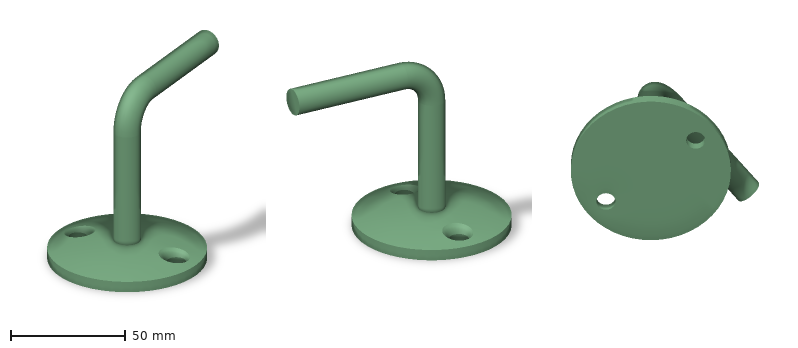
import cadquery as cq

plate_diameter = 70.0
rim_height = 5.0
plate_height = 9.0

rod_diameter = 12.0
overall_length = 104.0
overall_height = 82.0
bend_radius = 15.0

hole_diameter = 8.3
hole_offset = 25.0
cone_start_height = 4.4

plate_radius = plate_diameter / 2
rod_reach = overall_length - plate_radius
rod_axis_height = overall_height - rod_diameter / 2


def make_plate():
    """Trim a disc with the sphere that passes through its rim and its crown."""
    dome_rise = plate_height - rim_height
    dome_radius = (plate_radius**2 + dome_rise**2) / (2 * dome_rise)
    dome = cq.Workplane("XZ", origin=(0, 0, plate_height - dome_radius)).sphere(dome_radius)
    return cq.Workplane("XY").circle(plate_radius).extrude(plate_height).intersect(dome)


def make_rod():
    """Sweep a circle up from the plate and around the bend toward +Y."""
    path = (
        cq.Workplane("YZ")
        .moveTo(0, rim_height)
        .lineTo(0, rod_axis_height - bend_radius)
        .tangentArcPoint((bend_radius, rod_axis_height), relative=False)
        .lineTo(rod_reach, rod_axis_height)
    )
    return cq.Workplane("XY", origin=(0, 0, rim_height)).circle(rod_diameter / 2).sweep(path)


def make_hole_cutter(x):
    """Vertical through hole with a 90 degree countersink that clears the dome."""
    hole_radius = hole_diameter / 2
    cone_height = plate_height - cone_start_height
    cone_top_radius = hole_radius + cone_height
    shank = cq.Workplane("XY", origin=(x, 0, 0)).circle(hole_radius).extrude(plate_height)
    cone = cq.Solid.makeCone(
        hole_radius, cone_top_radius, cone_height, pnt=cq.Vector(x, 0, cone_start_height)
    )
    return shank.union(cq.Workplane(cone))


plate = make_plate()
for hole_x in (-hole_offset, hole_offset):
    plate = plate.cut(make_hole_cutter(hole_x))

result = plate.union(make_rod())